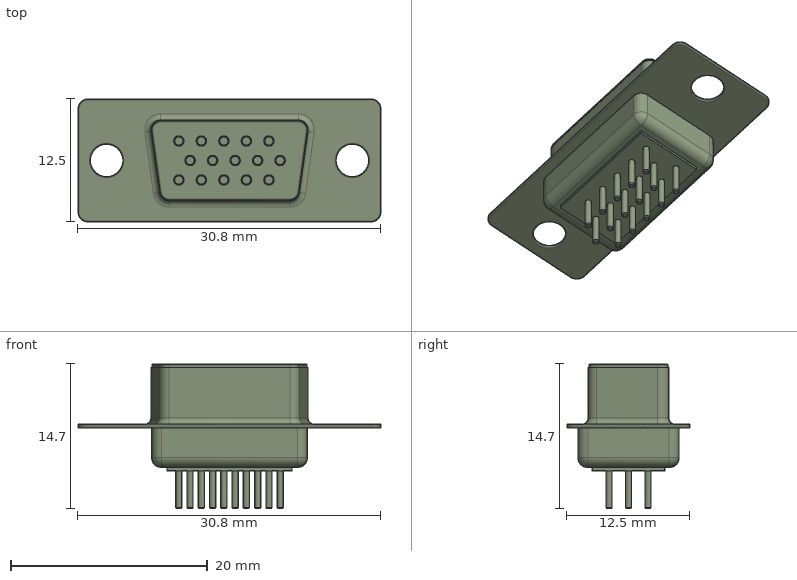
import cadquery as cq
import math

flange_length = 30.8
flange_width = 12.5
flange_thickness = 0.4
flange_corner_radius = 1.0
flange_edge_round = 0.1
screw_hole_diameter = 3.3
screw_hole_spacing = 25.0

shell_height = 5.75
shell_width = 8.22
shell_long_side_centers = 14.0
shell_corner_radius = 1.0
shell_side_angle = 7.9
shell_base_round = 0.62

insert_inset = 0.1
insert_rise = 0.35
insert_edge_round = 0.1
insert_top = shell_height + insert_rise

body_length = 15.85
body_width = 10.3
body_height = 4.0
body_corner_radius = 1.02
body_bottom_round = 1.0
pad_length = 12.75
pad_width = 7.4
pad_height = 0.35

contacts_per_row = 5
contact_pitch = 2.29
row_pitch = 1.98
socket_diameter = 0.85
socket_depth = 5.0
socket_chamfer = 0.1
socket_mouth_angle = 90
pin_diameter = 0.64
pin_tip_chamfer = 0.12
overall_height = 14.7

body_bottom = -flange_thickness - body_height
pad_bottom = body_bottom - pad_height
pin_length = overall_height - insert_top + pad_bottom


def contact_points():
    """Three rows of contacts; the middle row is offset half a pitch from its neighbours."""
    row_length = (contacts_per_row - 1) * contact_pitch
    row_shift = contact_pitch / 4
    points = []
    for row in (-1, 0, 1):
        shift = row_shift if row == 0 else -row_shift
        for column in range(contacts_per_row):
            x = column * contact_pitch - row_length / 2 + shift
            points.append((x, row * row_pitch))
    return points


def make_flange():
    flange = (
        cq.Workplane("XY")
        .workplane(offset=-flange_thickness)
        .rect(flange_length, flange_width)
        .extrude(flange_thickness)
        .edges("|Z")
        .fillet(flange_corner_radius)
    )
    half_spacing = screw_hole_spacing / 2
    flange = (
        flange.faces(">Z")
        .workplane()
        .pushPoints([(-half_spacing, 0), (half_spacing, 0)])
        .hole(screw_hole_diameter)
    )
    return flange.faces("<Z or >Z").edges().fillet(flange_edge_round)


def make_d_prism(inset, height):
    """Prism of the D outline, wide along +Y, with every wall moved inward by inset."""
    angle = math.radians(shell_side_angle)
    half_width = shell_width / 2 - inset
    corner_radius = shell_corner_radius - inset
    corner_reach = corner_radius * math.tan(math.pi / 4 + angle / 2)
    wide_corner = shell_long_side_centers / 2 + corner_reach
    narrow_corner = wide_corner - 2 * half_width * math.tan(angle)
    return (
        cq.Workplane("XY")
        .polyline([
            (-wide_corner, half_width),
            (wide_corner, half_width),
            (narrow_corner, -half_width),
            (-narrow_corner, -half_width),
        ])
        .close()
        .extrude(height)
        .edges("|Z")
        .fillet(corner_radius)
    )


def make_shell():
    """Shell walls with the slightly smaller insulator face rising above the rim."""
    insert = (
        make_d_prism(insert_inset, insert_top)
        .faces(">Z")
        .edges()
        .fillet(insert_edge_round)
    )
    return make_d_prism(0, shell_height).union(insert)


def round_shell_base(part):
    """Blend the shell walls into the top face of the flange."""
    half_x = screw_hole_spacing / 2 - screw_hole_diameter
    half_y = body_width / 2
    half_z = flange_edge_round / 2
    seam_zone = cq.selectors.BoxSelector((-half_x, -half_y, -half_z), (half_x, half_y, half_z))
    return part.edges(seam_zone).fillet(shell_base_round)


def make_body():
    body = (
        cq.Workplane("XY")
        .workplane(offset=body_bottom)
        .rect(body_length, body_width)
        .extrude(body_height)
        .edges("|Z")
        .fillet(body_corner_radius)
        .faces("<Z")
        .edges()
        .fillet(body_bottom_round)
    )
    pad = (
        cq.Workplane("XY")
        .workplane(offset=pad_bottom)
        .rect(pad_length, pad_width)
        .extrude(pad_height)
    )
    return body.union(pad)


def make_pins():
    return (
        cq.Workplane("XY")
        .workplane(offset=pad_bottom)
        .pushPoints(contact_points())
        .circle(pin_diameter / 2)
        .extrude(-pin_length)
        .faces("<Z")
        .edges()
        .chamfer(pin_tip_chamfer)
    )


def cut_sockets(part):
    """Blind contact sockets with a chamfered mouth in the insulator face."""
    mouth_diameter = socket_diameter + 2 * socket_chamfer
    return (
        part.faces(">Z")
        .workplane(origin=(0, 0, insert_top))
        .pushPoints(contact_points())
        .cskHole(socket_diameter, mouth_diameter, socket_mouth_angle, socket_depth)
    )


mating_side = round_shell_base(make_flange().union(make_shell()))
result = cut_sockets(mating_side).union(make_body()).union(make_pins())